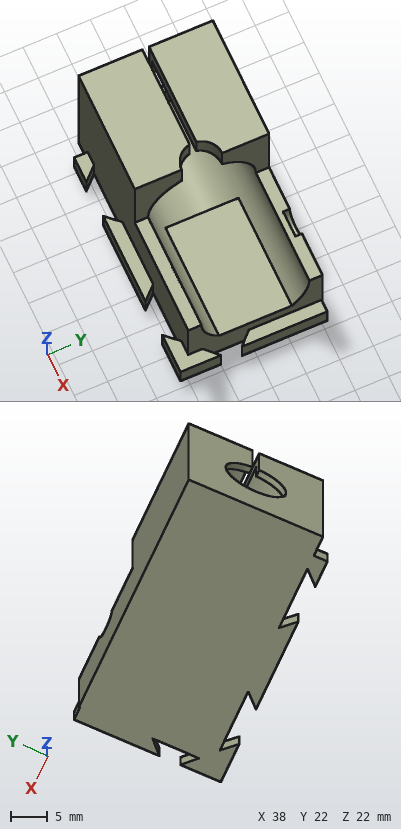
import cadquery as cq

total_length = 38.0
rail_depth = 2.0
rail_height = 3.0
rail_slant = 1.9
end_rail_depth = 1.9
body_length = total_length - end_rail_depth
body_width = 20.0
body_height = 22.0
block_length = 18.5
tray_height = 11.0
mid_y = body_width / 2
axis_z = body_height / 2

lip_radius = 4.5
lip_length = 1.0
bore_radius = 8.0

slit_width = 1.0
relief_radius = 3.0

channel_floor_z = 5.1

seat_radius = 2.0
seat_depth = 1.0
seat_x = (block_length + body_length) / 2

first_rail_start = 3.0
first_rail_end = 7.03
middle_rail_start = 12.55
middle_rail_end = 26.5
last_rail_start = 31.95

end_gap_start = 4.03
end_gap_end = 7.1
end_rail_inset = 0.15


def make_body():
    block = cq.Workplane("XY").box(block_length, body_width, body_height, centered=False)
    tray = cq.Workplane("XY").box(body_length, body_width, tray_height, centered=False)
    return block.union(tray)


def cylinder_x(radius, start, end):
    """Cylinder on the bore axis between two X positions."""
    profile = cq.Workplane("YZ", origin=(start, mid_y, axis_z)).circle(radius)
    return profile.extrude(end - start)


def make_slit():
    slit = cq.Workplane("XY").box(block_length, slit_width, body_height - axis_z, centered=False)
    return slit.translate((0, mid_y - slit_width / 2, axis_z))


def make_relief():
    profile = cq.Workplane("XY", origin=(block_length, mid_y, axis_z)).circle(relief_radius)
    return profile.extrude(body_height - axis_z)


def make_channel():
    channel = cylinder_x(bore_radius, block_length, body_length)
    above_floor = cq.Workplane("XY").box(body_length, body_width, body_height, centered=False)
    return channel.intersect(above_floor.translate((0, 0, channel_floor_z)))


def make_seat():
    profile = cq.Workplane("XZ", origin=(seat_x, body_width, tray_height)).circle(seat_radius)
    return profile.extrude(seat_depth)


def make_rail(points):
    return cq.Workplane("XY").polyline(points).close().extrude(rail_height)


def make_rails():
    first_rail = make_rail([
        (first_rail_start, 0),
        (first_rail_start, -rail_depth),
        (first_rail_end, -rail_depth),
        (first_rail_end - rail_slant, 0),
    ])
    middle_rail = make_rail([
        (middle_rail_start + rail_slant, 0),
        (middle_rail_start, -rail_depth),
        (middle_rail_end, -rail_depth),
        (middle_rail_end - rail_slant, 0),
    ])
    corner_rail = make_rail([
        (last_rail_start + rail_slant, 0),
        (last_rail_start, -rail_depth),
        (total_length, -rail_depth),
        (total_length, end_gap_start),
        (body_length, end_gap_start - rail_slant),
        (body_length, 0),
    ])
    end_rail = make_rail([
        (body_length, end_gap_end + rail_slant),
        (total_length, end_gap_end),
        (total_length, body_width - end_rail_inset),
        (body_length, body_width - end_rail_inset),
    ])
    return [first_rail, middle_rail, corner_rail, end_rail]


result = make_body()
for rail in make_rails():
    result = result.union(rail)

cutters = [
    cylinder_x(lip_radius, 0, lip_length),
    cylinder_x(bore_radius, lip_length, block_length),
    make_slit(),
    make_relief(),
    make_channel(),
    make_seat(),
]
for cutter in cutters:
    result = result.cut(cutter)